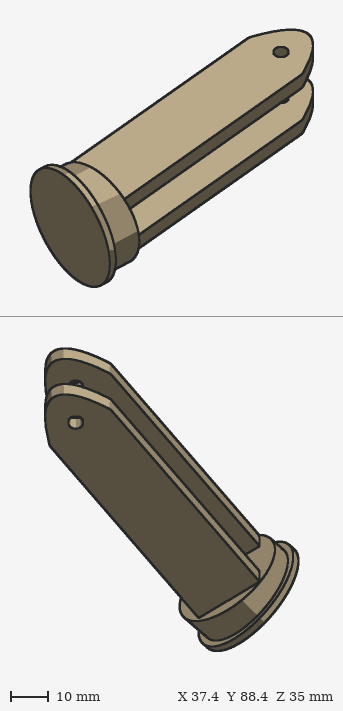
import cadquery as cq
import math

overall_length = 88.4

flange_diameter = 35.0
flange_thickness = 2.0
plug_diameter = 31.0
slant_angle = 8.0
slant_height = 9.2

arm_width = 20.0
arm_offset = -0.6
arm_thickness = 5.0
arm_gap = 12.0
shoulder_radius = 3.5
tip_height = 12.0
hole_distance = 70.0
hole_diameter = 4.0

slant_sin = math.sin(math.radians(slant_angle))
slant_cos = math.cos(math.radians(slant_angle))
tip_rise = tip_height * slant_cos + (slant_sin * arm_width / 2) ** 2 / (4 * tip_height * slant_cos)
arm_foot_height = slant_height + arm_offset * slant_sin
shoulder_length = (overall_length - arm_foot_height - tip_rise) / slant_cos


def make_base():
    flange = cq.Workplane("XZ").circle(flange_diameter / 2).extrude(-flange_thickness)
    radius = plug_diameter / 2
    rise = radius * math.tan(math.radians(slant_angle))
    wedge = (
        cq.Workplane("XY")
        .moveTo(-radius, 0)
        .lineTo(radius, 0)
        .lineTo(radius, slant_height + rise)
        .lineTo(-radius, slant_height - rise)
        .close()
        .extrude(radius, both=True)
    )
    plug = cq.Workplane("XZ").circle(radius).extrude(-(slant_height + rise))
    return flange.union(plug.intersect(wedge))


def make_arm(bottom_z):
    """Upright arm with a parabolic tip, tilted to stand square on the slanted face."""
    half_width = arm_width / 2
    tip_control = (arm_offset, shoulder_length + 2 * tip_height)
    left_shoulder = (arm_offset - half_width, shoulder_length)
    profile = (
        cq.Workplane("XY")
        .moveTo(arm_offset - half_width, 0)
        .lineTo(arm_offset + half_width, 0)
        .lineTo(arm_offset + half_width, shoulder_length)
        .bezier([tip_control, left_shoulder], includeCurrent=True)
        .close()
    )
    shoulder_edges = cq.selectors.BoxSelector(
        (arm_offset - arm_width, shoulder_length - shoulder_radius, 0),
        (arm_offset + arm_width, shoulder_length + shoulder_radius, arm_thickness),
    )
    arm = profile.extrude(arm_thickness).edges("|Z").edges(shoulder_edges).fillet(shoulder_radius)
    hole = (
        cq.Workplane("XY")
        .center(arm_offset, hole_distance)
        .circle(hole_diameter / 2)
        .extrude(arm_thickness)
    )
    return (
        arm.cut(hole)
        .rotate((0, 0, 0), (0, 0, 1), slant_angle)
        .translate((0, slant_height, bottom_z))
    )


result = make_base()
for arm_bottom in (arm_gap / 2, -arm_gap / 2 - arm_thickness):
    result = result.union(make_arm(arm_bottom))